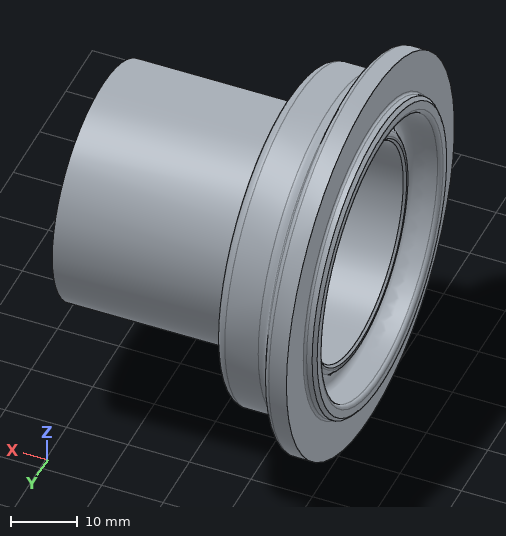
import cadquery as cq
import math

length = 45.5
flange_radius = 32.0
shoulder_radius = 27.0
tube_radius = 38.1 / 2
bore_radius = 34.8 / 2
lip_radius = 50.4 / 2

flange_face = 1.85
flange_rim_end = 4.75
shoulder_end = 15.55

lip_chamfer = 0.6
lip_root_fillet = 0.4
flange_edge_run = 0.8
flange_edge_drop = 0.6
cone_end_x = 6.7
cone_end_radius = 28.2
cone_fillet_run = 1.85
shoulder_fillet = 1.55
tube_root_fillet = 1.65

channel_outer_radius = 22.65
channel_inner_radius = 18.9
channel_bottom_x = 5.1
channel_bottom_radius = 20.75
channel_inner_slope = 0.6
channel_lip_fillet = 0.65
rim_face = 3.6
rim_round_end_x = 4.0
rim_flat_radius = 18.1
bore_edge_radius = 17.8
bore_edge_run = bore_edge_radius - bore_radius

ARC_INSET = 1 - math.sqrt(0.5)


def outer_profile(sketch):
    """Trace the outside from the lip face to the far end of the tube."""
    flange_edge_x = flange_rim_end + flange_edge_run
    shoulder_start = cone_end_x + cone_fillet_run
    root_x = flange_face - lip_root_fillet
    corner_x = shoulder_end - shoulder_fillet * ARC_INSET
    corner_radius = shoulder_radius - shoulder_fillet * ARC_INSET
    tube_root_x = shoulder_end + tube_root_fillet * ARC_INSET
    tube_root_radius = tube_radius + tube_root_fillet * ARC_INSET
    return (
        sketch.lineTo(0, lip_radius - lip_chamfer)
        .lineTo(lip_chamfer, lip_radius)
        .lineTo(root_x, lip_radius)
        .threePointArc(
            (flange_face - lip_root_fillet * ARC_INSET, lip_radius + lip_root_fillet * ARC_INSET),
            (flange_face, lip_radius + lip_root_fillet),
        )
        .lineTo(flange_face, flange_radius)
        .lineTo(flange_rim_end, flange_radius)
        .tangentArcPoint((flange_edge_x, flange_radius - flange_edge_drop), relative=False)
        .lineTo(cone_end_x, cone_end_radius)
        .tangentArcPoint((shoulder_start, shoulder_radius), relative=False)
        .lineTo(shoulder_end - shoulder_fillet, shoulder_radius)
        .threePointArc((corner_x, corner_radius), (shoulder_end, shoulder_radius - shoulder_fillet))
        .lineTo(shoulder_end, tube_radius + tube_root_fillet)
        .threePointArc((tube_root_x, tube_root_radius), (shoulder_end + tube_root_fillet, tube_radius))
        .lineTo(length, tube_radius)
    )


def inner_profile(sketch):
    """Trace back along the bore, over the rim and around the channel to the lip face."""
    lip_inset = channel_lip_fillet * ARC_INSET
    return (
        sketch.lineTo(length, bore_radius)
        .lineTo(rim_face + bore_edge_run, bore_radius)
        .lineTo(rim_face, bore_edge_radius)
        .lineTo(rim_face, rim_flat_radius)
        .tangentArcPoint((rim_round_end_x, channel_inner_radius), relative=False)
        .spline(
            [(channel_bottom_x, channel_bottom_radius), (channel_lip_fillet, channel_outer_radius)],
            tangents=[(1, channel_inner_slope), (-1, 0)],
            includeCurrent=True,
        )
        .threePointArc(
            (lip_inset, channel_outer_radius + lip_inset),
            (0, channel_outer_radius + channel_lip_fillet),
        )
    )


start = cq.Workplane("XY").moveTo(0, channel_outer_radius + channel_lip_fillet)
profile = inner_profile(outer_profile(start)).close()
result = profile.revolve(360, (0, 0, 0), (1, 0, 0))